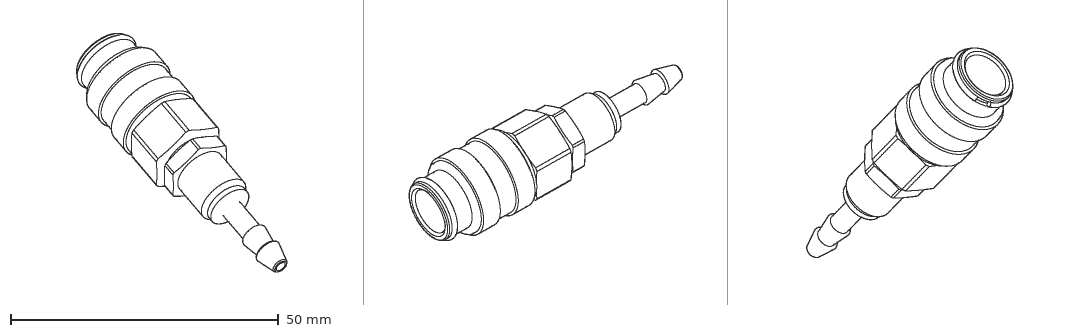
import cadquery as cq
import math


LENGTH = 59.65

TUBE_OD = 12.15
TUBE_FACE_OD = 11.5
TUBE_LIP_OD = 12.0
TUBE_EDGE_LENGTH = 0.3
ENTRY_D = 10.0
BORE_D = 9.0
ENTRY_CHAMFER_LENGTH = 0.5
REAR_FLANGE_D = 8.2
REAR_FLANGE_LENGTH = 0.4

RING_X = 1.5
RING_INNER_D = 10.7
WIRE_D = 1.2
RING_GAP_ANGLE = 28.0

SLEEVE_START = 5.6
SLEEVE_END = 20.15
SLEEVE_OD = 15.1
BAND_OD = 16.15
BAND_FOOT_WIDTH = 4.25
BAND_EDGE_LENGTH = 0.1
SHOULDER_WIDTH = 1.0
SLEEVE_EDGE_RADIUS = 0.55

HEX_FLATS = 14.0
HEX_CORNERS = 15.75
HEX_END = 28.7
HEX_CHAMFER_LENGTH = 0.2
STEM_OD = 10.0
STEM_END = 40.55
STEM_CONE_END = 41.6
COLLAR_OD = 8.6
COLLAR_END = 42.65

HOSE_STEM_D = 4.05
HOSE_STEM_FILLET = 0.5
BARB_D = 5.2
BARB_EDGE_RADIUS = 0.3
FIRST_BARB_X = 50.6
FIRST_BARB_END_D = 3.8
SECOND_BARB_X = 55.1
TIP_D = 3.15
TIP_CHAMFER = 0.25

PASSAGE_D = 2.0
COUNTERSINK_D = 4.5
COUNTERSINK_DEPTH = 0.7

NUT_FLATS = 12.0
NUT_CORNERS = 13.55
NUT_START = 29.65
NUT_END = 32.7


def turned(outline):
    """Revolve a closed outline, drawn as (x, radius), about the X axis."""
    return outline.close().revolve(360, (0, 0, 0), (1, 0, 0))


def cylinder(diameter, start, end):
    return cq.Workplane("YZ", origin=(start, 0, 0)).circle(diameter / 2).extrude(end - start)


def hexagon(flats, corners, start, end):
    """Hexagonal bar with flats facing +/-Y, corners trimmed to a cylinder and coned ends."""
    sharp_corners = flats / math.cos(math.radians(30))
    bar = (
        cq.Workplane("YZ", origin=(start, 0, 0))
        .transformed(rotate=(0, 0, 90))
        .polygon(6, sharp_corners)
        .extrude(end - start)
    )
    envelope = turned(
        cq.Workplane("XY")
        .moveTo(start, 0)
        .lineTo(start, flats / 2)
        .lineTo(start + HEX_CHAMFER_LENGTH, corners / 2)
        .lineTo(end - HEX_CHAMFER_LENGTH, corners / 2)
        .lineTo(end, flats / 2)
        .lineTo(end, 0)
    )
    return bar.intersect(envelope)


def make_socket_tube():
    groove_start = RING_X - WIRE_D / 2
    groove_end = RING_X + WIRE_D / 2
    return turned(
        cq.Workplane("XY")
        .moveTo(0, ENTRY_D / 2)
        .lineTo(0, TUBE_FACE_OD / 2)
        .lineTo(TUBE_EDGE_LENGTH, TUBE_LIP_OD / 2)
        .lineTo(groove_start, TUBE_LIP_OD / 2)
        .lineTo(groove_start, RING_INNER_D / 2)
        .lineTo(groove_end, RING_INNER_D / 2)
        .lineTo(groove_end, TUBE_OD / 2)
        .lineTo(SLEEVE_END, TUBE_OD / 2)
        .lineTo(SLEEVE_END, REAR_FLANGE_D / 2)
        .lineTo(SLEEVE_END - REAR_FLANGE_LENGTH, REAR_FLANGE_D / 2)
        .lineTo(SLEEVE_END - REAR_FLANGE_LENGTH, BORE_D / 2)
        .lineTo(ENTRY_CHAMFER_LENGTH, BORE_D / 2)
    )


def make_snap_ring():
    wire_center_radius = (RING_INNER_D + WIRE_D) / 2
    ring = (
        cq.Workplane("XY")
        .center(RING_X, wire_center_radius)
        .circle(WIRE_D / 2)
        .revolve(360 - RING_GAP_ANGLE, (0, -wire_center_radius, 0), (1, -wire_center_radius, 0))
    )
    return ring.rotate((0, 0, 0), (1, 0, 0), -90 + RING_GAP_ANGLE / 2)


def grip_band(start):
    """Raised band with slightly sloping sides, as a solid disc."""
    end = start + BAND_FOOT_WIDTH
    return turned(
        cq.Workplane("XY")
        .moveTo(start, 0)
        .lineTo(start, SLEEVE_OD / 2)
        .lineTo(start + BAND_EDGE_LENGTH, BAND_OD / 2)
        .lineTo(end - BAND_EDGE_LENGTH, BAND_OD / 2)
        .lineTo(end, SLEEVE_OD / 2)
        .lineTo(end, 0)
    )


def make_sleeve():
    sleeve = cylinder(SLEEVE_OD, SLEEVE_START, SLEEVE_END).edges().fillet(SLEEVE_EDGE_RADIUS)
    first_band_start = SLEEVE_START + SHOULDER_WIDTH
    second_band_start = SLEEVE_END - SHOULDER_WIDTH - BAND_FOOT_WIDTH
    for band_start in (first_band_start, second_band_start):
        sleeve = sleeve.union(grip_band(band_start))
    return sleeve.cut(cylinder(TUBE_OD, SLEEVE_START, SLEEVE_END))


def make_barb_stem():
    """Threaded stem, collar and hose barb as one turned shape behind the hexagon."""
    stem_r = HOSE_STEM_D / 2
    barb_r = BARB_D / 2
    barb_face_r = barb_r - BARB_EDGE_RADIUS
    return turned(
        cq.Workplane("XY")
        .moveTo(HEX_END, 0)
        .lineTo(HEX_END, STEM_OD / 2)
        .lineTo(STEM_END, STEM_OD / 2)
        .lineTo(STEM_CONE_END, COLLAR_OD / 2)
        .lineTo(COLLAR_END, COLLAR_OD / 2)
        .lineTo(COLLAR_END, stem_r + HOSE_STEM_FILLET)
        .radiusArc((COLLAR_END + HOSE_STEM_FILLET, stem_r), -HOSE_STEM_FILLET)
        .lineTo(FIRST_BARB_X, stem_r)
        .lineTo(FIRST_BARB_X, barb_face_r)
        .radiusArc((FIRST_BARB_X + BARB_EDGE_RADIUS, barb_r), BARB_EDGE_RADIUS)
        .lineTo(SECOND_BARB_X, FIRST_BARB_END_D / 2)
        .lineTo(SECOND_BARB_X, barb_face_r)
        .radiusArc((SECOND_BARB_X + BARB_EDGE_RADIUS, barb_r), BARB_EDGE_RADIUS)
        .lineTo(LENGTH - TIP_CHAMFER, TIP_D / 2)
        .lineTo(LENGTH, TIP_D / 2 - TIP_CHAMFER)
        .lineTo(LENGTH, 0)
    )


def make_passage():
    """Through hole with a shallow countersink on the floor of the socket."""
    return turned(
        cq.Workplane("XY")
        .moveTo(SLEEVE_END, 0)
        .lineTo(SLEEVE_END, COUNTERSINK_D / 2)
        .lineTo(SLEEVE_END + COUNTERSINK_DEPTH, PASSAGE_D / 2)
        .lineTo(LENGTH, PASSAGE_D / 2)
        .lineTo(LENGTH, 0)
    )


def make_adapter():
    hex_body = hexagon(HEX_FLATS, HEX_CORNERS, SLEEVE_END, HEX_END)
    return hex_body.union(make_barb_stem()).cut(make_passage())


def make_lock_nut():
    return hexagon(NUT_FLATS, NUT_CORNERS, NUT_START, NUT_END).cut(cylinder(STEM_OD, NUT_START, NUT_END))


socket_tube = make_socket_tube()
snap_ring = make_snap_ring()
sleeve = make_sleeve()
adapter = make_adapter()
lock_nut = make_lock_nut()

result = cq.Compound.makeCompound(
    [socket_tube.val(), snap_ring.val(), sleeve.val(), adapter.val(), lock_nut.val()]
)